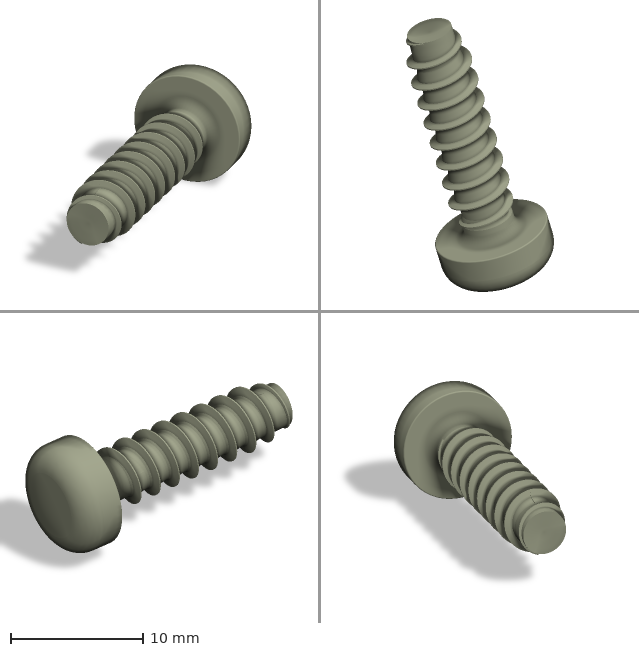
import cadquery as cq
import math


head_radius = 4.4
head_height = 3.5
head_crown_radius = 1.75
head_rim_fillet = 0.1

shank_length = 17.99
neck_radius = 2.0
neck_fillet = 0.7
neck_end = -1.25
core_radius = 1.765
core_start = -2.0
tip_radius = 1.74
tip_taper_length = 1.2
tip_dish_depth = 0.12

pitch = 1.8
crest_radius = 2.5
crest_half_width = 0.05
upper_foot_radius = 1.87
upper_foot_height = 0.26
lower_foot_radius = 1.94
lower_foot_height = -0.23
upper_run_out = 0.5
lower_run_out = -1.26
ramp_middle_rise = 1 / 3
buried_depth = 1.0
core_overlap = 0.02

cylinder_angle = 360

crest_height_on_x = -4.03
upper_fade_top = -1.15
full_top = -3.0
full_bottom = -15.3
lower_fade_bottom = -17.9
top_sink = 0.41
bottom_sink = 0.66


def make_head_and_shank():
    """Revolve the head, neck and core in one piece, flat at the tip."""
    diagonal = math.sqrt(0.5)
    crown_center_radius = head_radius - head_crown_radius
    crown_center_height = head_height - head_crown_radius
    rim_center_radius = head_radius - head_rim_fillet
    neck_fillet_center = neck_radius + neck_fillet
    outline = (
        cq.Workplane("XZ")
        .moveTo(0, head_height)
        .lineTo(crown_center_radius, head_height)
        .threePointArc(
            (
                crown_center_radius + head_crown_radius * diagonal,
                crown_center_height + head_crown_radius * diagonal,
            ),
            (head_radius, crown_center_height),
        )
        .lineTo(head_radius, head_rim_fillet)
        .threePointArc(
            (
                rim_center_radius + head_rim_fillet * diagonal,
                head_rim_fillet * (1 - diagonal),
            ),
            (rim_center_radius, 0),
        )
        .lineTo(neck_fillet_center, 0)
        .threePointArc(
            (
                neck_fillet_center - neck_fillet * diagonal,
                neck_fillet * (diagonal - 1),
            ),
            (neck_radius, -neck_fillet),
        )
        .lineTo(neck_radius, neck_end)
        .lineTo(core_radius, core_start)
        .lineTo(core_radius, tip_taper_length - shank_length)
        .lineTo(tip_radius, -shank_length)
        .lineTo(0, -shank_length)
        .close()
    )
    return outline.revolve(360, (0, 0, 0), (0, 1, 0))


def thread_section(sink):
    """Ridge with a hollow ramp above it and a long taper below it, lowered radially by sink."""
    crest = crest_radius - sink
    upper_foot = upper_foot_radius - sink
    lower_foot = lower_foot_radius - sink
    core = core_radius - core_overlap - sink
    inner = crest - buried_depth
    ramp_middle = (upper_foot_height + upper_run_out) / 2
    ramp_middle_radius = core + (upper_foot - core) * ramp_middle_rise
    return (
        cq.Workplane("XZ")
        .moveTo(inner, upper_run_out)
        .lineTo(core, upper_run_out)
        .threePointArc((ramp_middle_radius, ramp_middle), (upper_foot, upper_foot_height))
        .lineTo(crest, crest_half_width)
        .lineTo(crest, -crest_half_width)
        .lineTo(lower_foot, lower_foot_height)
        .lineTo(core, lower_run_out)
        .lineTo(inner, lower_run_out)
        .close()
    )


def thread_stretch(bottom, top, bottom_sink_depth, top_sink_depth):
    """Sweep the section up a right-hand helix whose radius changes evenly with height."""
    length = top - bottom
    slope = math.atan2(bottom_sink_depth - top_sink_depth, length)
    slant = 1 / math.cos(slope)
    cone_angle = math.degrees(slope) or cylinder_angle
    helix = cq.Wire.makeHelix(
        pitch * slant,
        length * slant,
        crest_radius - bottom_sink_depth,
        angle=cone_angle,
    )
    stretch = thread_section(bottom_sink_depth).sweep(cq.Workplane(helix), isFrenet=True)
    turn = 360 * (bottom - crest_height_on_x) / pitch
    return stretch.rotate((0, 0, 0), (0, 0, 1), turn).translate((0, 0, bottom))


def make_thread():
    """Full-depth thread with a stretch at each end that sinks into the shank."""
    thread = thread_stretch(full_bottom, full_top, 0, 0)
    upper_fade = thread_stretch(full_top, upper_fade_top, 0, top_sink)
    lower_fade = thread_stretch(lower_fade_bottom, full_bottom, bottom_sink, 0)
    return [thread, upper_fade, lower_fade]


def make_tip_cutter():
    """Block below the tip, topped by the shallow cone that dishes the end face."""
    trim_radius = crest_radius + pitch
    trim_bottom = -shank_length - 2 * pitch
    outline = (
        cq.Workplane("XZ")
        .moveTo(0, tip_dish_depth - shank_length)
        .lineTo(tip_radius, -shank_length)
        .lineTo(trim_radius, -shank_length)
        .lineTo(trim_radius, trim_bottom)
        .lineTo(0, trim_bottom)
        .close()
    )
    return outline.revolve(360, (0, 0, 0), (0, 1, 0))


screw = make_head_and_shank()
for stretch in make_thread():
    screw = screw.union(stretch)
screw = screw.cut(make_tip_cutter())

result = screw.rotate((0, 0, 0), (1, 0, 0), -90).solids()